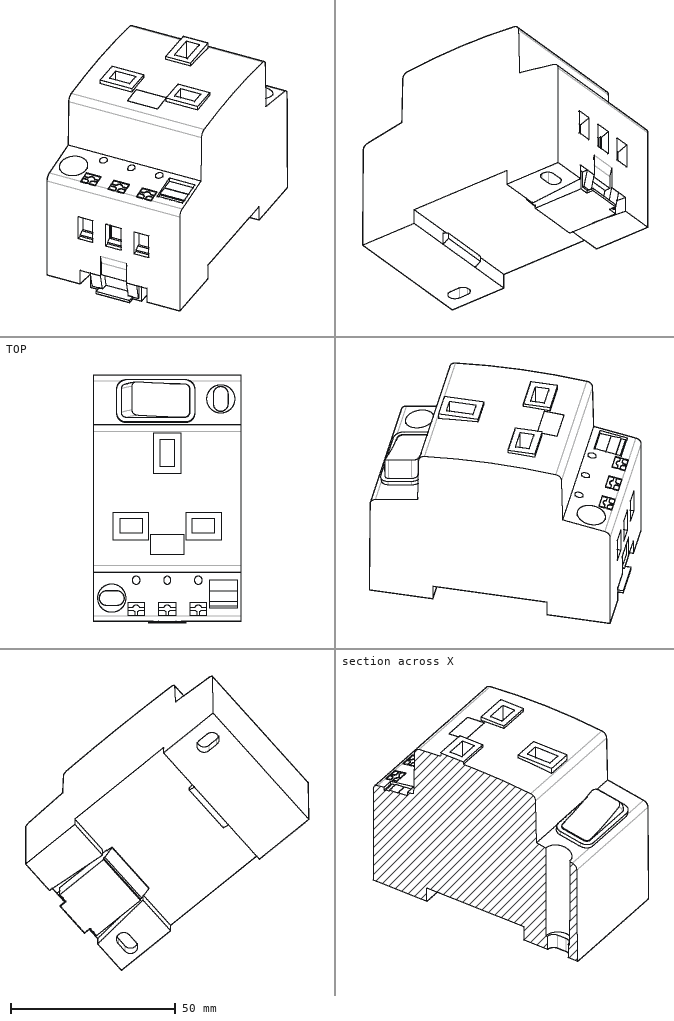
import cadquery as cq
import math


WIDTH = 45.0
DEPTH = 75.0
REAR_DRAFT = 0.25
REAR_TOP_Y = DEPTH - REAR_DRAFT
MID_Y = REAR_TOP_Y / 2
HEAD_BASE_HALF = 22.6
HEAD_TOP_HALF = 22.2
SHOULDER_Z = 38.8
SHOULDER_ANGLE = 10.0
HEAD_EDGE_Z = 56.25
HEAD_CROWN_Z = 57.5
EDGE_RADIUS = 2.0

FRONT_SHOULDER_Y = MID_Y - HEAD_BASE_HALF
REAR_SHOULDER_Y = MID_Y + HEAD_BASE_HALF
SHOULDER_SLOPE = math.tan(math.radians(SHOULDER_ANGLE))
FRONT_EDGE_Z = SHOULDER_Z - FRONT_SHOULDER_Y * SHOULDER_SLOPE
REAR_EDGE_Z = SHOULDER_Z - (REAR_TOP_Y - REAR_SHOULDER_Y) * SHOULDER_SLOPE

RAIL_FRONT_Y = 19.7
RAIL_REAR_Y = 55.2
RAIL_HEIGHT = 5.0
HOOK_HALF_WIDTH = 8.0
HOOK_REACH = 2.1
HOOK_TIP_LOW_Z = 1.3
HOOK_TIP_HIGH_Z = 3.2
HOOK_TOP_Z = 4.1

NOTCH_FRONT_HALF = 11.3
NOTCH_REAR_HALF = 9.5
CLIP_HALF_WIDTH = 8.65
CLIP_FRONT_Y = 1.85
CLIP_REAR_Y = 20.7
CLIP_BOTTOM_Z = -1.6
CLIP_FOOT_Y = 19.4
NOSE_TIP_Y = 22.8
NOSE_HEEL_Y = 19.9
NOSE_HEEL_Z = -0.4
NOSE_TIP_LOW_Z = 3.0
NOSE_TIP_HIGH_Z = 3.65
NOSE_TOP_Z = 4.1
WEDGE_HALF_WIDTH = 7.85
WEDGE_TOP_Y = 0.05
WEDGE_BOTTOM_Y = 1.3
WEDGE_BOTTOM_Z = -0.5
TONGUE_HALF_WIDTH = 5.7
TONGUE_TOP_Z = -0.75
TONGUE_TIP_Y = -0.48
GROOVE_HALF_WIDTH = 4.4
GROOVE_DEPTH = 2.6
GROOVE_TOP_Z = 12.2
GROOVE_PANEL_TOP_Z = 9.3
GROOVE_PANEL_DEPTH = 0.75

TERMINAL_PITCH = 9.45
SIDE_TERMINAL_WIDTH = 4.9
MIDDLE_TERMINAL_WIDTH = 5.2
MIDDLE_BACK_WIDTH = 4.4
WINDOW_BOTTOM_Z = 16.5
WINDOW_TOP_Z = 24.5
WINDOW_CEILING_BACK_Z = 23.2
WINDOW_LIP_Y = 1.4
WINDOW_LIP_Z = 17.0
WINDOW_RAMP_Y = 2.6
WINDOW_RAMP_Z = 17.8
WINDOW_DEPTH = 3.3
SCREW_WELL_FRONT_Y = 1.75
SCREW_WELL_REAR_Y = 5.75
SCREW_WELL_DEPTH = 0.3
SYMBOL_SUNK = 0.1
SYMBOL_BAR_Y = 3.75
SYMBOL_BAR_WIDTH = 0.85
SYMBOL_STEM_WIDTH = 0.75
SYMBOL_BUMP_RADIUS = 1.05
SYMBOL_BUMP_DROP = 0.28
PILOT_Y = 12.5
PILOT_LENGTH = 2.55
SIDE_PILOT_WIDTH = 2.3
MIDDLE_PILOT_WIDTH = 2.1
PILOT_FLOOR_Z = 36.0

MOUNT_BORE = 8.6
MOUNT_SLOT_LENGTH = 7.5
MOUNT_SLOT_WIDTH = 4.4
MOUNT_FLOOR_Z = RAIL_HEIGHT
FRONT_MOUNT = (-16.9, 7.05)
REAR_MOUNT = (16.3, 67.7)

LABEL_X = 17.15
LABEL_WIDTH = 8.6
LABEL_FRONT_Y = 4.1
LABEL_REAR_Y = 12.6
LABEL_SEAM_Y = 9.15
LABEL_SEAM_STEP = 0.12
LABEL_REAR_FLOOR_Z = 37.2
LABEL_SEAM_FLOOR_Z = 36.9
LABEL_FRONT_FLOOR_Z = 36.6
LABEL_STEP_YS = (6.0, 4.65)
LABEL_STEP = 0.4

PAD_TOP_Z = 58.35
APERTURE_DEPTH = 10.0
EARTH_PAD = (8.4, 12.3)
EARTH_PAD_Y = 51.2
EARTH_APERTURE = (4.4, 8.3)
POLE_PAD = (10.75, 8.4)
POLE_PAD_Y = 28.95
POLE_X = 11.15
POLE_APERTURE = (6.8, 4.3)
POLE_APERTURE_Y = 29.1
APERTURE_X = 11.0
PLATE_SIZE = (10.2, 6.15)
PLATE_Y = 23.35
PLATE_THICKNESS = 0.05

BEZEL_X = -3.5
BEZEL_LENGTH = 23.8
BEZEL_WIDTH = 13.0
BEZEL_RADIUS = 2.8
BEZEL_THICKNESS = 1.35
BEZEL_SUNK = 0.5
BEZEL_OFFSET = 7.05
ROCKER_LENGTH = 21.6
ROCKER_WIDTH = 10.3
ROCKER_RADIUS = 1.5
ROCKER_PEAK_X = -10.75
ROCKER_PEAK = 5.9
ROCKER_MID_X = -2.0
ROCKER_MID = 2.9
ROCKER_LOW = 1.6
ROCKER_END_LEAN = 0.5
ROCKER_NOSE = (-13.1, 3.3)

OVERLAP = 1.0


def block(x, y, z):
    """Box spanning the three (low, high) ranges."""
    size = [high - low for low, high in (x, y, z)]
    return cq.Workplane("XY").box(*size, centered=False).translate((x[0], y[0], z[0]))


def side_plate(points, x):
    """Closed (Y, Z) outline extruded over the (low, high) range of X."""
    plate = cq.Workplane("YZ").polyline(points).close().extrude(x[1] - x[0])
    return plate.translate((x[0], 0, 0))


def across(half_width):
    return (-half_width, half_width)


def front_shoulder_z(y):
    return FRONT_EDGE_Z + y * SHOULDER_SLOPE


def housing():
    outline = (
        cq.Workplane("YZ")
        .moveTo(0, 0)
        .lineTo(DEPTH, 0)
        .lineTo(REAR_TOP_Y, REAR_EDGE_Z)
        .lineTo(REAR_SHOULDER_Y, SHOULDER_Z)
        .lineTo(MID_Y + HEAD_TOP_HALF, HEAD_EDGE_Z)
        .threePointArc((MID_Y, HEAD_CROWN_Z), (MID_Y - HEAD_TOP_HALF, HEAD_EDGE_Z))
        .lineTo(FRONT_SHOULDER_Y, SHOULDER_Z)
        .lineTo(0, FRONT_EDGE_Z)
        .close()
    )
    body = outline.extrude(WIDTH / 2, both=True)
    rounded_corners = (
        (0, FRONT_EDGE_Z),
        (MID_Y - HEAD_TOP_HALF, HEAD_EDGE_Z),
        (MID_Y + HEAD_TOP_HALF, HEAD_EDGE_Z),
        (REAR_TOP_Y, REAR_EDGE_Z),
    )
    for y, z in rounded_corners:
        body = body.edges(cq.selectors.NearestToPointSelector((0, y, z))).fillet(EDGE_RADIUS)
    return body


def rail_recess():
    return block(across(WIDTH / 2), (RAIL_FRONT_Y, RAIL_REAR_Y), (-OVERLAP, RAIL_HEIGHT))


def rear_hook():
    tip_y = RAIL_REAR_Y - HOOK_REACH
    points = [
        (RAIL_REAR_Y + OVERLAP, 0),
        (RAIL_REAR_Y, 0),
        (tip_y, HOOK_TIP_LOW_Z),
        (tip_y, HOOK_TIP_HIGH_Z),
        (RAIL_REAR_Y, HOOK_TOP_Z),
        (RAIL_REAR_Y + OVERLAP, HOOK_TOP_Z),
    ]
    return side_plate(points, across(HOOK_HALF_WIDTH))


def clip_notch():
    plan = [
        (-NOTCH_FRONT_HALF, 0),
        (NOTCH_FRONT_HALF, 0),
        (NOTCH_REAR_HALF, RAIL_FRONT_Y),
        (-NOTCH_REAR_HALF, RAIL_FRONT_Y),
    ]
    return cq.Workplane("XY").polyline(plan).close().extrude(RAIL_HEIGHT)


def clip():
    """Sliding latch: body with a rail nose, a slanted thumb wedge and a pull tongue."""
    body_outline = [
        (CLIP_FRONT_Y, CLIP_BOTTOM_Z),
        (CLIP_FOOT_Y, CLIP_BOTTOM_Z),
        (CLIP_FOOT_Y, NOSE_HEEL_Z),
        (NOSE_HEEL_Y, NOSE_HEEL_Z),
        (NOSE_TIP_Y, NOSE_TIP_LOW_Z),
        (NOSE_TIP_Y, NOSE_TIP_HIGH_Z),
        (CLIP_REAR_Y, NOSE_TOP_Z),
        (CLIP_REAR_Y, RAIL_HEIGHT),
        (CLIP_FRONT_Y, RAIL_HEIGHT),
    ]
    wedge_outline = [
        (WEDGE_TOP_Y, RAIL_HEIGHT),
        (WEDGE_BOTTOM_Y, WEDGE_BOTTOM_Z),
        (CLIP_FRONT_Y + OVERLAP, WEDGE_BOTTOM_Z),
        (CLIP_FRONT_Y + OVERLAP, RAIL_HEIGHT),
    ]
    groove_outline = [
        (WEDGE_TOP_Y - OVERLAP, RAIL_HEIGHT),
        (WEDGE_BOTTOM_Y - OVERLAP, TONGUE_TOP_Z),
        (WEDGE_BOTTOM_Y + GROOVE_DEPTH, TONGUE_TOP_Z),
        (WEDGE_TOP_Y + GROOVE_DEPTH, RAIL_HEIGHT),
    ]
    tongue = block(
        across(TONGUE_HALF_WIDTH),
        (TONGUE_TIP_Y, CLIP_FRONT_Y + OVERLAP),
        (CLIP_BOTTOM_Z, TONGUE_TOP_Z),
    )
    latch = side_plate(body_outline, across(CLIP_HALF_WIDTH))
    latch = latch.union(side_plate(wedge_outline, across(WEDGE_HALF_WIDTH)))
    latch = latch.cut(side_plate(groove_outline, across(GROOVE_HALF_WIDTH)))
    return latch.union(tongue)


def finger_groove():
    """Shallow recess in the front wall above the clip, with a sloped upper end."""
    points = [
        (0, GROOVE_TOP_Z),
        (GROOVE_PANEL_DEPTH, GROOVE_PANEL_TOP_Z),
        (GROOVE_PANEL_DEPTH, RAIL_HEIGHT),
        (0, RAIL_HEIGHT),
    ]
    return side_plate(points, across(GROOVE_HALF_WIDTH))


def wire_window(width, back_width):
    """Wire entry with a falling ceiling and a stepped, ramped floor; its end may be narrower."""
    points = [
        (0, WINDOW_BOTTOM_Z),
        (WINDOW_LIP_Y, WINDOW_BOTTOM_Z),
        (WINDOW_LIP_Y, WINDOW_LIP_Z),
        (WINDOW_RAMP_Y, WINDOW_RAMP_Z),
        (WINDOW_DEPTH, WINDOW_RAMP_Z),
        (WINDOW_DEPTH, WINDOW_CEILING_BACK_Z),
        (0, WINDOW_TOP_Z),
    ]
    entry = block(across(width / 2), (0, WINDOW_RAMP_Y), (WINDOW_BOTTOM_Z, WINDOW_TOP_Z))
    back = block(across(back_width / 2), (0, WINDOW_DEPTH), (WINDOW_BOTTOM_Z, WINDOW_TOP_Z))
    return side_plate(points, across(width / 2)).intersect(entry.union(back))


def shoulder_well(width, depth):
    """Rectangular well whose floor runs parallel to the front shoulder."""
    front, rear = SCREW_WELL_FRONT_Y, SCREW_WELL_REAR_Y
    points = [
        (front, front_shoulder_z(front) - depth),
        (rear, front_shoulder_z(rear) - depth),
        (rear, SHOULDER_Z),
        (front, SHOULDER_Z),
    ]
    return side_plate(points, across(width / 2))


def screw_well(width):
    """Shallow well in the front shoulder around a T-shaped symbol of almost full height."""
    well = shoulder_well(width, SCREW_WELL_DEPTH)
    bar_top = SYMBOL_BAR_Y + SYMBOL_BAR_WIDTH / 2
    bar = block(across(width), (bar_top - SYMBOL_BAR_WIDTH, bar_top), (0, SHOULDER_Z + OVERLAP))
    stem = block(across(SYMBOL_STEM_WIDTH / 2), (0, bar_top), (0, SHOULDER_Z + OVERLAP))
    bump_y = bar_top - SYMBOL_BUMP_DROP
    bump = cq.Workplane("XY").center(0, bump_y).circle(SYMBOL_BUMP_RADIUS).extrude(SHOULDER_Z + OVERLAP)
    return well.cut(bar.union(stem).union(bump)).union(shoulder_well(width, SYMBOL_SUNK))


def pilot_hole(width):
    hole = cq.Workplane("XY", origin=(0, PILOT_Y, PILOT_FLOOR_Z))
    return hole.ellipse(width / 2, PILOT_LENGTH / 2).extrude(SHOULDER_Z - PILOT_FLOOR_Z + OVERLAP)


def terminal_cuts():
    """All openings of the three terminals."""
    side = (SIDE_TERMINAL_WIDTH, SIDE_TERMINAL_WIDTH, SIDE_PILOT_WIDTH)
    middle = (MIDDLE_TERMINAL_WIDTH, MIDDLE_BACK_WIDTH, MIDDLE_PILOT_WIDTH)
    cuts = cq.Workplane("XY")
    for position, (width, back_width, pilot_width) in enumerate((side, middle, side)):
        x = (position - 1) * TERMINAL_PITCH
        for tool in (wire_window(width, back_width), screw_well(width), pilot_hole(pilot_width)):
            cuts = cuts.add(tool.translate((x, 0, 0)))
    return cuts.combine()


def mounting_hole(position, slot_angle):
    bore = cq.Workplane("XY", origin=(*position, MOUNT_FLOOR_Z)).circle(MOUNT_BORE / 2).extrude(SHOULDER_Z)
    slot = (
        cq.Workplane("XY", origin=(*position, -OVERLAP))
        .slot2D(MOUNT_SLOT_LENGTH, MOUNT_SLOT_WIDTH, slot_angle)
        .extrude(MOUNT_FLOOR_Z + 2 * OVERLAP)
    )
    return bore.union(slot)


def label_pocket():
    """Pocket with a sloping floor, a seam step across it and two steps down at its front."""
    first_step_y, second_step_y = LABEL_STEP_YS
    first_floor = LABEL_FRONT_FLOOR_Z - LABEL_STEP
    second_floor = first_floor - LABEL_STEP
    points = [
        (LABEL_REAR_Y, SHOULDER_Z),
        (LABEL_REAR_Y, LABEL_REAR_FLOOR_Z),
        (LABEL_SEAM_Y, LABEL_SEAM_FLOOR_Z),
        (LABEL_SEAM_Y, LABEL_SEAM_FLOOR_Z - LABEL_SEAM_STEP),
        (first_step_y, LABEL_FRONT_FLOOR_Z),
        (first_step_y, first_floor),
        (second_step_y, first_floor),
        (second_step_y, second_floor),
        (LABEL_FRONT_Y, second_floor),
        (LABEL_FRONT_Y, SHOULDER_Z),
    ]
    return side_plate(points, (LABEL_X - LABEL_WIDTH / 2, LABEL_X + LABEL_WIDTH / 2))


def socket_block(size, x, y, depth):
    """Rectangular prism reaching down from the top of the socket pads."""
    return cq.Workplane("XY", origin=(x, y, PAD_TOP_Z - depth)).rect(*size).extrude(depth)


def socket_pads():
    depth = PAD_TOP_Z - HEAD_EDGE_Z
    pads = socket_block(EARTH_PAD, 0, EARTH_PAD_Y, depth)
    for side in (-1, 1):
        pads = pads.union(socket_block(POLE_PAD, side * POLE_X, POLE_PAD_Y, depth))
    return pads


def socket_apertures():
    holes = socket_block(EARTH_APERTURE, 0, EARTH_PAD_Y, APERTURE_DEPTH)
    for side in (-1, 1):
        holes = holes.union(socket_block(POLE_APERTURE, side * APERTURE_X, POLE_APERTURE_Y, APERTURE_DEPTH))
    return holes


def name_plate(body):
    """Thin plate that follows the arched head top."""
    window = socket_block(PLATE_SIZE, 0, PLATE_Y, PAD_TOP_Z - SHOULDER_Z)
    return body.intersect(window).translate((0, 0, PLATE_THICKNESS))


def rocker_switch():
    """Bezel and rocker, modelled flat and then tilted onto the rear shoulder."""
    bezel = (
        cq.Workplane("XY", origin=(BEZEL_X, BEZEL_OFFSET, -BEZEL_SUNK))
        .rect(BEZEL_LENGTH, BEZEL_WIDTH)
        .extrude(BEZEL_SUNK + BEZEL_THICKNESS)
        .edges("|Z")
        .fillet(BEZEL_RADIUS)
    )
    low_x = BEZEL_X - ROCKER_LENGTH / 2
    high_x = BEZEL_X + ROCKER_LENGTH / 2
    rocker = (
        cq.Workplane("XZ", origin=(0, BEZEL_OFFSET, 0))
        .moveTo(low_x, 0)
        .threePointArc(ROCKER_NOSE, (ROCKER_PEAK_X, ROCKER_PEAK))
        .threePointArc((ROCKER_MID_X, ROCKER_MID), (high_x - ROCKER_END_LEAN, ROCKER_LOW))
        .lineTo(high_x, 0)
        .close()
        .extrude(ROCKER_WIDTH / 2, both=True)
    )
    high_end_middle = (high_x - ROCKER_END_LEAN / 2, ROCKER_LOW / 2)
    for x, z in (ROCKER_NOSE, high_end_middle):
        for side in (-1, 1):
            corner = (x, BEZEL_OFFSET + side * ROCKER_WIDTH / 2, z)
            rocker = rocker.edges(cq.selectors.NearestToPointSelector(corner)).fillet(ROCKER_RADIUS)
    switch = bezel.union(rocker)
    tilted = switch.rotate((0, 0, 0), (1, 0, 0), -SHOULDER_ANGLE)
    return tilted.translate((0, REAR_SHOULDER_Y, SHOULDER_Z))


plain_housing = housing()
result = plain_housing.cut(rail_recess()).cut(clip_notch()).cut(finger_groove())
result = result.union(rear_hook()).union(clip())
result = result.cut(terminal_cuts()).cut(label_pocket())
result = result.cut(mounting_hole(FRONT_MOUNT, 0)).cut(mounting_hole(REAR_MOUNT, 90))
result = result.union(name_plate(plain_housing)).union(socket_pads()).cut(socket_apertures())
result = result.union(rocker_switch())